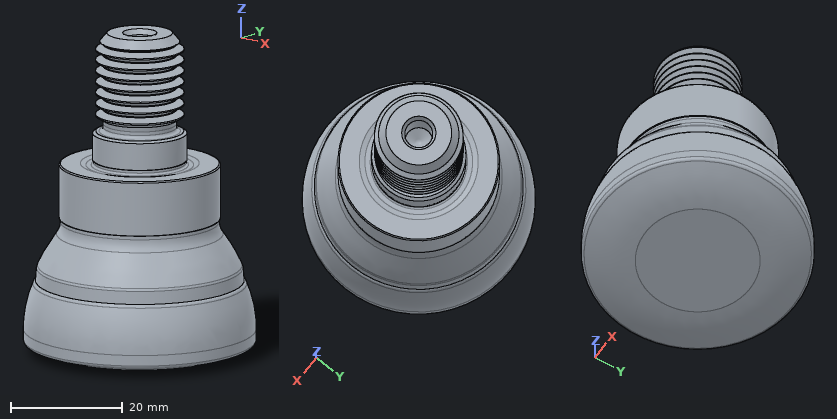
import cadquery as cq
import math

TOTAL_HEIGHT = 59.0

THREAD_RADIUS = 16.0 / 2
ROOT_RADIUS = 13.2 / 2
THREAD_PITCH = 2.0
FLANK_ANGLE = 30.0
ROOT_FLAT = 0.2
TOP_GROOVE_Z = 57.0
GROOVE_COUNT = 7
TIP_RADIUS = 5.9
TIP_CHAMFER_HEIGHT = 2.5

HOLE_RADIUS = 5.0 / 2
COUNTERSINK_RADIUS = 3.05
COUNTERSINK_HALF_ANGLE = 30.0
HOLE_DEPTH = 7.1
DRILL_POINT_HALF_ANGLE = 59.0

SEAT_RADIUS = 17.0 / 2
SEAT_TOP_Z = 40.9
SEAT_BOTTOM_Z = 35.6
SEAT_CHAMFER_WIDTH = 0.6
SEAT_CHAMFER_HEIGHT = 0.35
RELIEF_TOP_Z = 43.05
RUNOUT_RADIUS = 6.7
RUNOUT_BOTTOM_Z = 42.25
RELIEF_FILLET = 0.7

UNDERCUT_RADIUS = 8.3
UNDERCUT_DEPTH = 0.3
UNDERCUT_FILLET = 0.4
UNDERCUT_FLOOR_RADIUS = 9.7
UNDERCUT_RIM_RADIUS = 10.7

COLLAR_RADIUS = 29.0 / 2
COLLAR_TOP_Z = 34.9
COLLAR_BOTTOM_Z = 24.9
COLLAR_CHAMFER = 0.25
NECK_RADIUS = 28.6 / 2
NECK_BOTTOM_Z = 24.2
FLARE_START = (15.0, 21.95)
FLARE_END = (18.4, 16.15)
FLARE_BULGE = 0.1
RIM_TOP = (18.6, 15.7)
RIM_BOTTOM_RADIUS = 18.75

FOOT_RADIUS = 41.9 / 2
FOOT_TOP_Z = 13.35
RIM_BULGE = 0.05
DOME_TOP = (19.25, 12.75)
DOME_BOTTOM_Z = 4.4
FOOT_SIDE_BOTTOM_Z = 2.5
SOLE_EDGE = (20.4, 1.8)
SOLE_FLAT_RADIUS = 11.2


def turn(profile):
    """Revolve a closed (radius, height) outline about the Z axis."""
    return profile.close().revolve(360, (0, 0, 0), (0, 1, 0))


def tangent_arc_middle(start, end):
    """Middle point of an arc from start to end whose tangent at start is vertical."""
    width = end[0] - start[0]
    height = end[1] - start[1]
    radius = (width**2 + height**2) / (2 * width)
    half_sweep = math.atan2(abs(width), abs(height))
    return (
        start[0] + radius * (1 - math.cos(half_sweep)),
        start[1] + math.copysign(abs(radius) * math.sin(half_sweep), height),
    )


def make_stud_blank():
    """Turned stud before the thread grooves and the centre hole are cut."""
    tip_chamfer_z = TOTAL_HEIGHT - TIP_CHAMFER_HEIGHT
    flank_height = (THREAD_RADIUS - RUNOUT_RADIUS) * math.tan(math.radians(FLANK_ANGLE))
    undercut_z = COLLAR_TOP_Z - UNDERCUT_DEPTH
    relief_arc_start = (ROOT_RADIUS, SEAT_TOP_Z + RELIEF_FILLET)
    relief_arc_end = (ROOT_RADIUS + RELIEF_FILLET, SEAT_TOP_Z)
    undercut_arc_start = (UNDERCUT_RADIUS, undercut_z + UNDERCUT_FILLET)
    undercut_arc_end = (UNDERCUT_RADIUS + UNDERCUT_FILLET, undercut_z)
    neck_end = (NECK_RADIUS, NECK_BOTTOM_Z)
    flare_middle = (
        (FLARE_START[0] + FLARE_END[0]) / 2 + FLARE_BULGE,
        (FLARE_START[1] + FLARE_END[1]) / 2 + FLARE_BULGE,
    )
    profile = (
        cq.Workplane("XZ")
        .moveTo(0, TOTAL_HEIGHT)
        .lineTo(TIP_RADIUS, TOTAL_HEIGHT)
        .lineTo(THREAD_RADIUS, tip_chamfer_z)
        .lineTo(THREAD_RADIUS, RELIEF_TOP_Z + flank_height)
        .lineTo(RUNOUT_RADIUS, RELIEF_TOP_Z)
        .lineTo(ROOT_RADIUS, RUNOUT_BOTTOM_Z)
        .lineTo(*relief_arc_start)
        .threePointArc(tangent_arc_middle(relief_arc_start, relief_arc_end), relief_arc_end)
        .lineTo(SEAT_RADIUS - SEAT_CHAMFER_WIDTH, SEAT_TOP_Z)
        .lineTo(SEAT_RADIUS, SEAT_TOP_Z - SEAT_CHAMFER_HEIGHT)
        .lineTo(SEAT_RADIUS, SEAT_BOTTOM_Z)
        .lineTo(UNDERCUT_RADIUS, SEAT_BOTTOM_Z)
        .lineTo(*undercut_arc_start)
        .threePointArc(tangent_arc_middle(undercut_arc_start, undercut_arc_end), undercut_arc_end)
        .lineTo(UNDERCUT_FLOOR_RADIUS, undercut_z)
        .lineTo(UNDERCUT_RIM_RADIUS, COLLAR_TOP_Z)
        .lineTo(COLLAR_RADIUS - COLLAR_CHAMFER, COLLAR_TOP_Z)
        .lineTo(COLLAR_RADIUS, COLLAR_TOP_Z - COLLAR_CHAMFER)
        .lineTo(COLLAR_RADIUS, COLLAR_BOTTOM_Z)
        .lineTo(NECK_RADIUS, COLLAR_BOTTOM_Z)
        .lineTo(*neck_end)
        .threePointArc(tangent_arc_middle(neck_end, FLARE_START), FLARE_START)
        .threePointArc(flare_middle, FLARE_END)
        .lineTo(*RIM_TOP)
        .lineTo(RIM_BOTTOM_RADIUS, FOOT_TOP_Z)
        .lineTo(0, FOOT_TOP_Z)
    )
    return turn(profile)


def make_thread_groove(middle_z):
    """Ring-shaped V groove with a narrow flat root, reaching just past the crests."""
    outer_radius = THREAD_RADIUS + 0.05
    root_half = ROOT_FLAT / 2
    mouth_half = root_half + (outer_radius - ROOT_RADIUS) * math.tan(math.radians(FLANK_ANGLE))
    profile = (
        cq.Workplane("XZ")
        .moveTo(ROOT_RADIUS, middle_z - root_half)
        .lineTo(outer_radius, middle_z - mouth_half)
        .lineTo(outer_radius, middle_z + mouth_half)
        .lineTo(ROOT_RADIUS, middle_z + root_half)
    )
    return turn(profile)


def make_centre_hole():
    """Countersunk blind hole with a conical drill point."""
    countersink_depth = (COUNTERSINK_RADIUS - HOLE_RADIUS) / math.tan(math.radians(COUNTERSINK_HALF_ANGLE))
    point_depth = HOLE_RADIUS / math.tan(math.radians(DRILL_POINT_HALF_ANGLE))
    bottom_z = TOTAL_HEIGHT - HOLE_DEPTH
    profile = (
        cq.Workplane("XZ")
        .moveTo(0, TOTAL_HEIGHT)
        .lineTo(COUNTERSINK_RADIUS, TOTAL_HEIGHT)
        .lineTo(HOLE_RADIUS, TOTAL_HEIGHT - countersink_depth)
        .lineTo(HOLE_RADIUS, bottom_z)
        .lineTo(0, bottom_z - point_depth)
    )
    return turn(profile)


def make_stud():
    """Threaded stud with collar and flared base."""
    body = make_stud_blank()
    for index in range(GROOVE_COUNT):
        body = body.cut(make_thread_groove(TOP_GROOVE_Z - index * THREAD_PITCH))
    return body.cut(make_centre_hole())


def make_foot():
    """Domed foot with a crowned sole, lying against the underside of the stud."""
    rim_middle = (
        (RIM_BOTTOM_RADIUS + DOME_TOP[0]) / 2 + RIM_BULGE,
        (FOOT_TOP_Z + DOME_TOP[1]) / 2 + RIM_BULGE,
    )
    dome_bottom = (FOOT_RADIUS, DOME_BOTTOM_Z)
    side_bottom = (FOOT_RADIUS, FOOT_SIDE_BOTTOM_Z)
    crown_width = SOLE_EDGE[0] - SOLE_FLAT_RADIUS
    crown_radius = (crown_width**2 + SOLE_EDGE[1] ** 2) / (2 * SOLE_EDGE[1])
    crown_half_sweep = math.atan2(SOLE_EDGE[1], crown_width)
    crown_middle = (
        SOLE_FLAT_RADIUS + crown_radius * math.sin(crown_half_sweep),
        crown_radius * (1 - math.cos(crown_half_sweep)),
    )
    profile = (
        cq.Workplane("XZ")
        .moveTo(0, FOOT_TOP_Z)
        .lineTo(RIM_BOTTOM_RADIUS, FOOT_TOP_Z)
        .threePointArc(rim_middle, DOME_TOP)
        .threePointArc(tangent_arc_middle(dome_bottom, DOME_TOP), dome_bottom)
        .lineTo(*side_bottom)
        .threePointArc(tangent_arc_middle(side_bottom, SOLE_EDGE), SOLE_EDGE)
        .threePointArc(crown_middle, (SOLE_FLAT_RADIUS, 0))
        .lineTo(0, 0)
    )
    return turn(profile)


stud = make_stud()
foot = make_foot()

result = cq.Compound.makeCompound([stud.val(), foot.val()])